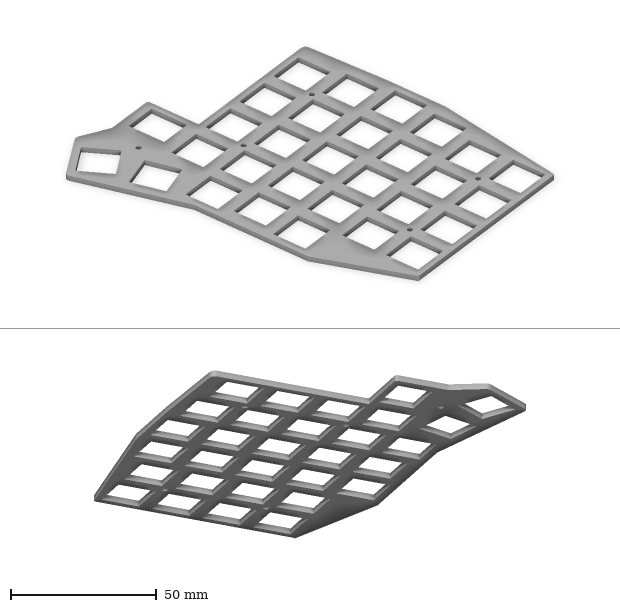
import cadquery as cq

thickness = 2.2

key_pitch = 19.0
key_size = 14.0
middle_column_x = 76.4
middle_column_top_y = 101.6
columns = [
    (-2, 5.0, 4),
    (-1, 2.5, 5),
    (0, 0, 5),
    (1, 2.5, 5),
    (2, 7.5, 4),
    (3, 7.5, 4),
]

wide_key_center = (17.8, 42.3)
wide_key_width = 15.5
wide_key_height = 12.9
turned_keys = [
    ((35.4, 18.4), 15),
    ((14.5, 13.3), 30),
]

screw_diameter = 2.2
screw_spacing = 2 * key_pitch
left_screw = (48.3, 51.0)
right_screw = (123.9, 46.9)
thumb_screw = (20.6, 27.8)

thumb_left_x = 6.3
thumb_top_y = 51.3
main_left_x = 28.5
top_y = 111.7
right_x = 143.1
bottom_y = 12.9

nib_tip = (143.4, 27.1)
nib_height = 0.3

outline = [
    ((10.8, -0.3), 1.7),
    ((-0.3, 19.2), 2.3),
    ((thumb_left_x, 31.4), 0),
    ((thumb_left_x, thumb_top_y), 1.0),
    ((main_left_x, thumb_top_y), 0.7),
    ((main_left_x, 110.4), 2.0),
    ((63.8, top_y), 0),
    ((88.9, top_y), 0),
    ((right_x, 103.1), 0.7),
    ((right_x, nib_tip[1] + nib_height), 0),
    (nib_tip, 0),
    ((106.0, bottom_y), 0),
    ((56.5, bottom_y), 0),
]


def make_plate():
    corners = [corner for corner, radius in outline]
    plate = cq.Workplane("XY").polyline(corners).close().extrude(thickness)
    for (x, y), radius in outline:
        if radius > 0:
            corner_edge = cq.selectors.NearestToPointSelector((x, y, thickness / 2))
            plate = plate.edges("|Z").edges(corner_edge).fillet(radius)
    return plate


def through_cutter(center, width, height, turn=0):
    cutter = cq.Workplane("XY").rect(width, height).extrude(thickness)
    return cutter.rotate((0, 0, 0), (0, 0, 1), turn).translate((*center, 0))


def cut_grid_keys(plate):
    centers = []
    for step, drop, count in columns:
        x = middle_column_x + step * key_pitch
        for row in range(count):
            centers.append((x, middle_column_top_y - drop - row * key_pitch))
    cutters = cq.Workplane("XY").pushPoints(centers).rect(key_size, key_size).extrude(thickness)
    return plate.cut(cutters)


def cut_thumb_keys(plate):
    plate = plate.cut(through_cutter(wide_key_center, wide_key_width, wide_key_height))
    for center, turn in turned_keys:
        plate = plate.cut(through_cutter(center, key_size, key_size, turn))
    return plate


def cut_screw_holes(plate):
    centers = [thumb_screw]
    for x, y in (left_screw, right_screw):
        centers += [(x, y), (x, y + screw_spacing)]
    cutters = cq.Workplane("XY").pushPoints(centers).circle(screw_diameter / 2).extrude(thickness)
    return plate.cut(cutters)


result = cut_screw_holes(cut_thumb_keys(cut_grid_keys(make_plate())))